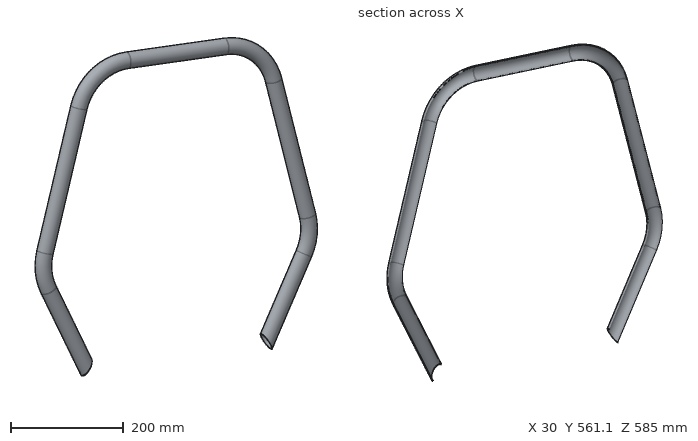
import cadquery as cq
import math

overall_height = 585.0
overall_width = 561.07

tube_radius = 15.0
wall_thickness = 2.0
bend_radius = 100.0

upper_leg_angle = math.radians(14.7)
lower_leg_angle = math.radians(26.3)
end_cut_angle = math.radians(31.0)
end_allowance = 2 * tube_radius

shoulder_y = 175.0
shoulder_z = overall_height - tube_radius

half_knee_turn = (upper_leg_angle + lower_leg_angle) / 2
knee_tilt = (lower_leg_angle - upper_leg_angle) / 2
knee_center_y = overall_width / 2 - tube_radius - bend_radius
knee_y = knee_center_y + bend_radius * math.cos(knee_tilt) / math.cos(half_knee_turn)
knee_z = shoulder_z - (knee_y - shoulder_y) / math.tan(upper_leg_angle)

cut_half_length = tube_radius / math.sin(lower_leg_angle + end_cut_angle)
foot_z = cut_half_length * math.cos(end_cut_angle)
foot_y = knee_y - (knee_z - foot_z) * math.tan(lower_leg_angle)

start_y = foot_y - end_allowance * math.sin(lower_leg_angle)
start_z = foot_z - end_allowance * math.cos(lower_leg_angle)


def step(origin, target, distance):
    """Point at the given distance from origin towards target."""
    length = math.dist(origin, target)
    return tuple(o + (t - o) * distance / length for o, t in zip(origin, target))


def bend_points(before, corner, after, turn):
    """Start, middle and end of the arc that rounds a corner of the centreline."""
    tangent_length = bend_radius * math.tan(turn / 2)
    start = step(corner, before, tangent_length)
    end = step(corner, after, tangent_length)
    chord_middle = tuple((s + e) / 2 for s, e in zip(start, end))
    middle = step(corner, chord_middle, bend_radius / math.cos(turn / 2) - bend_radius)
    return start, middle, end


def centerline():
    """Symmetric centreline from one foot over the top bar to the other foot."""
    half = [(start_y, start_z), (knee_y, knee_z), (shoulder_y, shoulder_z)]
    corners = half + [(-y, z) for y, z in reversed(half)]
    knee_turn = upper_leg_angle + lower_leg_angle
    shoulder_turn = math.pi / 2 - upper_leg_angle
    turns = [knee_turn, shoulder_turn, shoulder_turn, knee_turn]

    path = cq.Workplane("YZ").moveTo(*corners[0])
    for before, corner, after, turn in zip(corners, corners[1:], corners[2:], turns):
        start, middle, end = bend_points(before, corner, after, turn)
        path = path.lineTo(*start).threePointArc(middle, end)
    return path.lineTo(*corners[-1])


def swept_tube():
    """Round hollow tube following the centreline."""
    leg_direction = (0, math.sin(lower_leg_angle), math.cos(lower_leg_angle))
    section_plane = cq.Plane(origin=(0, start_y, start_z), xDir=(1, 0, 0), normal=leg_direction)
    section = cq.Workplane(section_plane).circle(tube_radius).circle(tube_radius - wall_thickness)
    return section.sweep(centerline())


def foot_trim():
    """Block that removes everything beyond the slanted cut of the +Y foot."""
    block_size = 4 * end_allowance
    cut_normal = (0, -math.cos(end_cut_angle), -math.sin(end_cut_angle))
    cut_plane = cq.Plane(origin=(0, foot_y, foot_z), xDir=(1, 0, 0), normal=cut_normal)
    return cq.Workplane(cut_plane).rect(block_size, block_size).extrude(block_size)


trim = foot_trim()
result = swept_tube().cut(trim).cut(trim.mirror("XZ"))